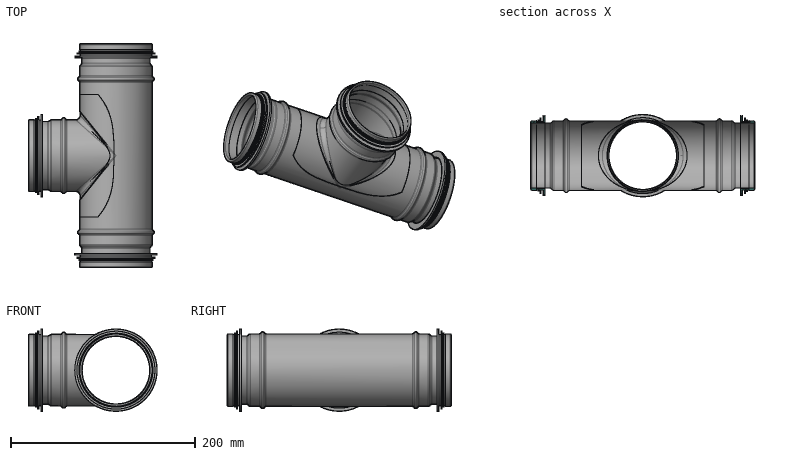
import cadquery as cq
import math


run_length = 243.0
branch_reach = 95.0

wall = 0.53
run_radius = 39.49
branch_radius = run_radius - wall

hem_length = 6.3
seat_radius = 37.7
groove_radius = 37.2
groove_bore_radius = 36.57
ramp_start = 21.6
ramp_end = 24.3
ramp_round = 2.0
bead_center = 38.5
bead_foot = 3.2
crest_round = 2.07
root_round = 1.0
neck_start = 45.0

saddle_half_length = 66.3
saddle_corner_x = -19.5
saddle_shoulder = (-5.0, 38.6)
saddle_apex_x = -2.2
crotch_round = 4.9
opening_half_length = 48.0

gasket_end = 15.5
gasket_base_radius = 39.0
collar_start, collar_end, collar_radius = 7.8, 9.0, 40.0
small_fin_start, small_fin_end, small_fin_radius = 10.0, 11.5, 42.3
large_fin_start, large_fin_radius = 13.5, 44.7


def toward(start, end, distance):
    """Point at the given distance from start on the line to end."""
    return start + (end - start).normalized() * distance


def revolve_outline(corners):
    """Solid of revolution about X below an outline of (axial, radius, blend radius) corners."""
    points = [cq.Vector(axial, radius) for axial, radius, blend in corners]
    path = cq.Workplane("XY").moveTo(points[0].x, 0).lineTo(points[0].x, points[0].y)
    for before, here, after, corner in zip(points, points[1:], points[2:], corners[1:]):
        blend = corner[2]
        if blend == 0:
            path = path.lineTo(here.x, here.y)
            continue
        half_turn = (here - before).getAngle(after - here) / 2
        setback = blend * math.tan(half_turn)
        arc_start = toward(here, before, setback)
        arc_end = toward(here, after, setback)
        corner_gap = blend * (1 / math.cos(half_turn) - 1)
        arc_middle = toward(here, (arc_start + arc_end) / 2, corner_gap)
        path = path.lineTo(arc_start.x, arc_start.y)
        path = path.threePointArc(arc_middle.toTuple()[:2], arc_end.toTuple()[:2])
    path = path.lineTo(points[-1].x, points[-1].y).lineTo(points[-1].x, 0).close()
    return path.revolve(360, (0, 0), (1, 0))


def ramp_and_bead(low_radius, tube_radius):
    """Corners of the ramp from the groove up to the tube, and of the bead on the tube."""
    return [
        (ramp_start, low_radius, ramp_round),
        (ramp_end, tube_radius, ramp_round),
        (bead_center - bead_foot, tube_radius, root_round),
        (bead_center, tube_radius + bead_foot, crest_round),
        (bead_center + bead_foot, tube_radius, root_round),
    ]


def lip_round(tube_radius):
    """Radius of the full round at the mouth, half the thickness of the hem."""
    return (tube_radius - groove_bore_radius) / 2


def skin_corners(tube_radius):
    """Outer corners of one tube end: hem, gasket seat, groove, ramp and bead."""
    hem = [(lip_round(tube_radius), tube_radius, 0), (hem_length, tube_radius, 0)]
    seat = [(hem_length, seat_radius, 0), (gasket_end, seat_radius, 0), (gasket_end, groove_radius, 0)]
    return hem + seat + ramp_and_bead(groove_radius, tube_radius)


def bore_corners(bore_radius):
    """Inner corners of one tube end; the bore runs straight from the mouth to the ramp."""
    return [(0, groove_bore_radius, 0)] + ramp_and_bead(groove_bore_radius, bore_radius)


def make_lip(tube_radius):
    """Half-round lip along X that closes the folded hem at the mouth."""
    blend = lip_round(tube_radius)
    return (
        cq.Workplane("XY")
        .moveTo(blend, groove_bore_radius)
        .threePointArc((0, groove_bore_radius + blend), (blend, tube_radius))
        .close()
        .revolve(360, (0, 0), (1, 0))
    )


def both_ends(corners):
    """Corners of one run end followed by the mirror image of them at the other end."""
    return corners + [(run_length - axial, radius, blend) for axial, radius, blend in reversed(corners)]


def place_on_run(body):
    """Turn a body made along X onto the run, its mouth at the -Y end."""
    return body.rotate((0, 0, 0), (0, 0, 1), 90).translate((0, -run_length / 2, 0))


def place_on_branch(body):
    """Move a body made along X to the branch mouth."""
    return body.translate((-branch_reach, 0, 0))


def run_cylinder(radius, half_length):
    """Solid cylinder on the run axis."""
    return cq.Workplane("XZ").circle(radius).extrude(half_length, both=True)


def make_run():
    """Run tube with two formed ends and an oval opening around the branch."""
    skin = revolve_outline(both_ends(skin_corners(run_radius)))
    bore = revolve_outline(both_ends(bore_corners(run_radius - wall)))
    tube = place_on_run(skin.cut(bore))
    lip = place_on_run(make_lip(run_radius))
    opening = cq.Workplane("YZ").ellipse(opening_half_length, branch_radius).extrude(-branch_reach)
    return tube.union(lip).union(lip.mirror("XZ")).cut(opening)


def make_branch():
    """Branch tube, joined to a saddle that lines the run; its bead is solid and its bore smooth."""
    neck_end = [(neck_start, branch_radius, 0)]
    formed_end = place_on_branch(revolve_outline(skin_corners(branch_radius) + neck_end))
    bore_radius = branch_radius - wall
    bore_outline = [
        (0, groove_bore_radius, 0),
        (ramp_start, groove_bore_radius, ramp_round),
        (ramp_end, bore_radius, ramp_round),
        (branch_reach, bore_radius, 0),
    ]
    bore = place_on_branch(revolve_outline(bore_outline))
    shoulder_x, shoulder_y = saddle_shoulder
    saddle_outline = (
        cq.Workplane("XY")
        .moveTo(-branch_reach, -saddle_half_length)
        .lineTo(saddle_corner_x, -saddle_half_length)
        .spline(
            [
                (shoulder_x, -shoulder_y),
                (saddle_apex_x, 0),
                (shoulder_x, shoulder_y),
                (saddle_corner_x, saddle_half_length),
            ],
            includeCurrent=True,
        )
        .lineTo(-branch_reach, saddle_half_length)
        .close()
        .extrude(large_fin_radius, both=True)
    )
    neck = cq.Workplane("YZ").circle(branch_radius).extrude(neck_start - branch_reach)
    saddle = run_cylinder(branch_radius, saddle_half_length)
    junction = neck.union(saddle).edges("%ELLIPSE").fillet(crotch_round).intersect(saddle_outline)
    body = junction.union(formed_end).cut(bore).cut(run_cylinder(bore_radius, run_length / 2))
    return body.union(place_on_branch(make_lip(branch_radius)))


def make_gasket():
    """Gasket ring along X that sits behind the hem."""
    base = [(hem_length, gasket_end, gasket_base_radius)]
    fins = [
        (collar_start, collar_end, collar_radius),
        (small_fin_start, small_fin_end, small_fin_radius),
        (large_fin_start, gasket_end, large_fin_radius),
    ]
    ring = cq.Workplane("YZ")
    for start, end, radius in base + fins:
        section = cq.Workplane("YZ", origin=(start, 0, 0)).circle(radius).circle(seat_radius)
        ring = ring.add(section.extrude(end - start))
    return ring.combine()


run = make_run()
branch = make_branch()
run_gasket = place_on_run(make_gasket())
run_gaskets = [run_gasket.rotate((0, 0, 0), (0, 0, 1), half_turns * 180) for half_turns in range(2)]
branch_gasket = place_on_branch(make_gasket())

result = cq.Compound.makeCompound(
    [run.val(), branch.val(), branch_gasket.val(), *[gasket.val() for gasket in run_gaskets]]
)